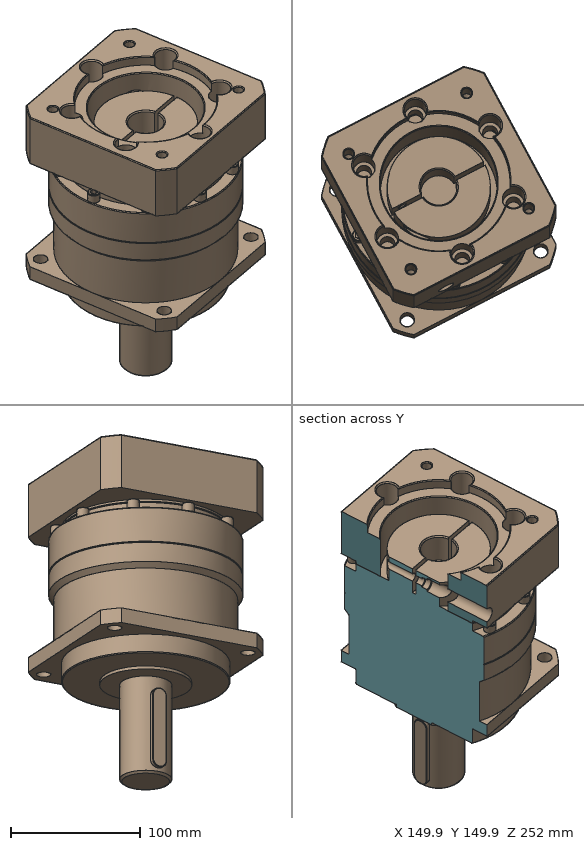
import cadquery as cq
import math

TOTAL_HEIGHT = 252.0
COLLAR_BOTTOM = 79.5
PILOT_BOTTOM = 82.0
FLANGE_BOTTOM = 97.0
FLANGE_TOP = 109.0
CONE_BOTTOM = 149.2
DRUM_BOTTOM = 153.2
DRUM_JOINT = 169.3
DRUM_TOP = 198.0
NECK_TOP = 206.0
ADAPTER_BLOCK_BOTTOM = 208.2
HUB_TOP = 230.3

SHAFT_RADIUS = 20.2
SHAFT_CHAMFER = 1.8
COLLAR_RADIUS = 35.5
NECK_RADIUS = 65.0
CASE_RADIUS = 71.0
DRUM_RADIUS = 74.97
EDGE_CHAMFER = 0.8
JOINT_CHAMFER = 0.5

SQUARE_SIDE = 2 * CASE_RADIUS
CORNER_RADIUS = 92.5

FLANGE_HOLE_RADIUS = 5.5
FLANGE_HOLE_OFFSET = 58.2

SCREW_COUNT = 10
SCREW_FIRST_ANGLE = 90
SCREW_CIRCLE_RADIUS = 69.8
SCREW_HEAD_RADIUS = 4.8
SCREW_HEAD_HEIGHT = 7.3
SOCKET_WIDTH = 5.0
SOCKET_DEPTH = 4.0
HEXAGON_SIDES = 6

HUB_RADIUS = 39.8
HUB_BORE_RADIUS = 14.0
HUB_BORE_CHAMFER = 1.0
HUB_SLIT_WIDTH = 3.0

KEY_BOTTOM = 4.5
KEY_LENGTH = 65.0
KEY_WIDTH = 12.0
KEY_CHAMFER = 0.5
KEY_SEAT = 15.0
KEY_CREST = 23.2

RECESS_RADIUS = 55.0
RECESS_DEPTH = 8.0
BORE_RADIUS = 45.0

BOLT_COUNT = 6
BOLT_CIRCLE_RADIUS = 59.0
BOLT_FIRST_ANGLE = 50
BOLT_HOLE_RADIUS = 5.8
COUNTERBORE_RADIUS = 8.5
COUNTERBORE_DEPTH = 27.7
COUNTERBORE_CHAMFER = 1.0

TAP_OFFSET = 51.5
TAP_RADIUS = 3.8
TAP_DEPTH = 20.2
TAP_CHAMFER = 0.8
DRILL_POINT_ANGLE = 118

CLAMP_Y = 31.0
CLAMP_Z = 221.3
ACCESS_RADIUS = 6.5
CLAMP_SEAT_X = -12.5
CLAMP_RECESS_RADIUS = 4.8
CLAMP_RECESS_DEPTH = 5.0
CLAMP_HOLE_RADIUS = 3.5


def cylinder(radius, bottom, top):
    return cq.Workplane("XY").workplane(offset=bottom).circle(radius).extrude(top - bottom)


def square_block(bottom, top):
    """Square slab whose corners are turned to a common cylinder."""
    height = top - bottom
    block = cq.Workplane("XY").workplane(offset=bottom).rect(SQUARE_SIDE, SQUARE_SIDE).extrude(height)
    return block.intersect(cylinder(CORNER_RADIUS, bottom, top))


def square_corners(offset):
    return [(sx * offset, sy * offset) for sx in (-1, 1) for sy in (-1, 1)]


def flared_hole(radius, bottom, top, chamfer):
    """Cutter for a round hole widened by a chamfer at its upper rim."""
    profile = [
        (0, bottom),
        (radius, bottom),
        (radius, top - chamfer),
        (radius + chamfer, top),
        (0, top),
    ]
    return cq.Workplane("XZ").polyline(profile).close().revolve(360, (0, 0), (0, 1))


def turned_case():
    """Shaft, collar, pilot, case, drum and neck as one turned profile."""
    profile = [
        (0, 0),
        (SHAFT_RADIUS - SHAFT_CHAMFER, 0),
        (SHAFT_RADIUS, SHAFT_CHAMFER),
        (SHAFT_RADIUS, COLLAR_BOTTOM),
        (COLLAR_RADIUS, COLLAR_BOTTOM),
        (COLLAR_RADIUS, PILOT_BOTTOM),
        (NECK_RADIUS - EDGE_CHAMFER, PILOT_BOTTOM),
        (NECK_RADIUS, PILOT_BOTTOM + EDGE_CHAMFER),
        (NECK_RADIUS, FLANGE_BOTTOM),
        (CASE_RADIUS, FLANGE_BOTTOM),
        (CASE_RADIUS, CONE_BOTTOM),
        (DRUM_RADIUS, DRUM_BOTTOM),
        (DRUM_RADIUS, DRUM_JOINT - JOINT_CHAMFER),
        (DRUM_RADIUS - JOINT_CHAMFER, DRUM_JOINT),
        (DRUM_RADIUS, DRUM_JOINT + JOINT_CHAMFER),
        (DRUM_RADIUS, DRUM_TOP - EDGE_CHAMFER),
        (DRUM_RADIUS - EDGE_CHAMFER, DRUM_TOP),
        (NECK_RADIUS, DRUM_TOP),
        (NECK_RADIUS, NECK_TOP - JOINT_CHAMFER),
        (NECK_RADIUS - JOINT_CHAMFER, NECK_TOP),
        (0, NECK_TOP),
    ]
    return cq.Workplane("XZ").polyline(profile).close().revolve(360, (0, 0), (0, 1))


def mounting_flange():
    holes = (
        cq.Workplane("XY").workplane(offset=FLANGE_BOTTOM)
        .pushPoints(square_corners(FLANGE_HOLE_OFFSET))
        .circle(FLANGE_HOLE_RADIUS)
        .extrude(FLANGE_TOP - FLANGE_BOTTOM)
    )
    return square_block(FLANGE_BOTTOM, FLANGE_TOP).cut(holes)


def screw_head(angle):
    """Socket cap screw head standing on the drum, at an angle around the axis."""
    top = DRUM_TOP + SCREW_HEAD_HEIGHT
    head = cylinder(SCREW_HEAD_RADIUS, DRUM_TOP, top).faces(">Z").chamfer(JOINT_CHAMFER)
    socket_diameter = SOCKET_WIDTH / math.cos(math.pi / HEXAGON_SIDES)
    socket = (
        cq.Workplane("XY").workplane(offset=top - SOCKET_DEPTH)
        .polygon(HEXAGON_SIDES, socket_diameter)
        .extrude(SOCKET_DEPTH)
    )
    return head.cut(socket).translate((SCREW_CIRCLE_RADIUS, 0, 0)).rotate((0, 0, 0), (0, 0, 1), angle)


def clamp_bore(radius, start_x, end_x):
    """Cutter along X on the axis of the clamp screw."""
    return (
        cq.Workplane("YZ", origin=(start_x, CLAMP_Y, CLAMP_Z))
        .circle(radius)
        .extrude(end_x - start_x)
    )


def clamp_hub():
    """Slit clamping hub on the neck, bored for the motor shaft."""
    hub = cylinder(HUB_RADIUS, NECK_TOP, HUB_TOP)
    slit = (
        cq.Workplane("XY").workplane(offset=NECK_TOP)
        .rect(HUB_SLIT_WIDTH, 2 * HUB_RADIUS)
        .extrude(HUB_TOP - NECK_TOP)
    )
    hub = hub.cut(slit).cut(flared_hole(HUB_BORE_RADIUS, NECK_TOP, HUB_TOP, HUB_BORE_CHAMFER))
    hub = hub.cut(clamp_bore(ACCESS_RADIUS, -HUB_RADIUS, CLAMP_SEAT_X))
    hub = hub.cut(clamp_bore(CLAMP_RECESS_RADIUS, CLAMP_SEAT_X, CLAMP_SEAT_X + CLAMP_RECESS_DEPTH))
    return hub.cut(clamp_bore(CLAMP_HOLE_RADIUS, CLAMP_SEAT_X, HUB_RADIUS))


def make_key():
    """Round-ended parallel key on the +Y side of the shaft."""
    middle = KEY_BOTTOM + KEY_LENGTH / 2
    return (
        cq.Workplane("XZ", origin=(0, KEY_SEAT, middle))
        .slot2D(KEY_LENGTH, KEY_WIDTH, 90)
        .extrude(KEY_SEAT - KEY_CREST)
        .faces(">Y")
        .chamfer(KEY_CHAMFER)
    )


def make_gearbox():
    """Case with shaft, flange, screw heads and clamping hub as one solid."""
    gearbox = turned_case().union(mounting_flange())
    for number in range(SCREW_COUNT):
        gearbox = gearbox.union(screw_head(SCREW_FIRST_ANGLE + number * 360 / SCREW_COUNT))
    return gearbox.union(clamp_hub())


def bolt_hole(angle):
    """Cutter for a counterbored through hole in the adapter, at an angle around the axis."""
    counterbore_floor = TOTAL_HEIGHT - COUNTERBORE_DEPTH
    counterbore = flared_hole(COUNTERBORE_RADIUS, counterbore_floor, TOTAL_HEIGHT, COUNTERBORE_CHAMFER)
    hole = cylinder(BOLT_HOLE_RADIUS, NECK_TOP, counterbore_floor).union(counterbore)
    return hole.translate((BOLT_CIRCLE_RADIUS, 0, 0)).rotate((0, 0, 0), (0, 0, 1), angle)


def tap_hole(x, y):
    """Cutter for a blind screw hole with a drill point at its bottom."""
    bottom = TOTAL_HEIGHT - TAP_DEPTH
    point_depth = TAP_RADIUS / math.tan(math.radians(DRILL_POINT_ANGLE / 2))
    point = cq.Workplane(
        cq.Solid.makeCone(0, TAP_RADIUS, point_depth, cq.Vector(0, 0, bottom - point_depth))
    )
    return flared_hole(TAP_RADIUS, bottom, TOTAL_HEIGHT, TAP_CHAMFER).union(point).translate((x, y, 0))


def make_adapter():
    """Square motor adapter with a short round spigot resting on the gearbox neck."""
    recess_floor = TOTAL_HEIGHT - RECESS_DEPTH
    block = square_block(ADAPTER_BLOCK_BOTTOM, TOTAL_HEIGHT).faces(">Z").chamfer(EDGE_CHAMFER)
    spigot = cylinder(NECK_RADIUS, NECK_TOP, ADAPTER_BLOCK_BOTTOM).faces("<Z").chamfer(JOINT_CHAMFER)
    adapter = block.union(spigot)
    adapter = adapter.cut(flared_hole(RECESS_RADIUS, recess_floor, TOTAL_HEIGHT, EDGE_CHAMFER))
    adapter = adapter.cut(flared_hole(BORE_RADIUS, NECK_TOP, recess_floor, EDGE_CHAMFER))
    for number in range(BOLT_COUNT):
        adapter = adapter.cut(bolt_hole(BOLT_FIRST_ANGLE + number * 360 / BOLT_COUNT))
    for x, y in square_corners(TAP_OFFSET):
        adapter = adapter.cut(tap_hole(x, y))
    return adapter.cut(clamp_bore(ACCESS_RADIUS, -CASE_RADIUS, 0))


key = make_key()
gearbox = make_gearbox().cut(key)
adapter = make_adapter()

result = cq.Compound.makeCompound([gearbox.val(), adapter.val(), key.val()])